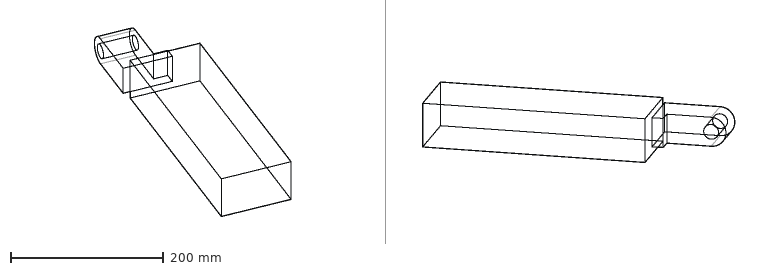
import cadquery as cq

total_length = 395.0
body_length = 300.2
body_width = 100.0
body_height = 60.0
arm_width = 50.0
arm_height = 40.0
arm_overhang = 10.0
foot_width = 20.0
foot_thickness = 15.0
hole_diameter = 20.0

arm_length = total_length - body_length
end_radius = arm_height / 2
pivot_x = end_radius - arm_length
arm_front_y = -arm_overhang


def box_from(x, y, length, width, height):
    """Box with its low X and Y corner at (x, y), centred on Z = 0."""
    return cq.Workplane("XY").box(length, width, height, centered=(False, False, True)).translate((x, y, 0))


def pivot_cylinder(diameter):
    """Cylinder along Y on the pivot axis, as wide as the arm."""
    base = cq.Workplane("XZ", origin=(pivot_x, arm_front_y, 0))
    return base.circle(diameter / 2).extrude(-arm_width)


body = box_from(0, 0, body_length, body_width, body_height)

arm = box_from(pivot_x, arm_front_y, -pivot_x, arm_width, arm_height)
rounded_end = pivot_cylinder(arm_height)
foot = box_from(-foot_thickness, arm_front_y, foot_thickness, arm_width + foot_width, arm_height)

result = body.union(arm).union(rounded_end).union(foot).cut(pivot_cylinder(hole_diameter))